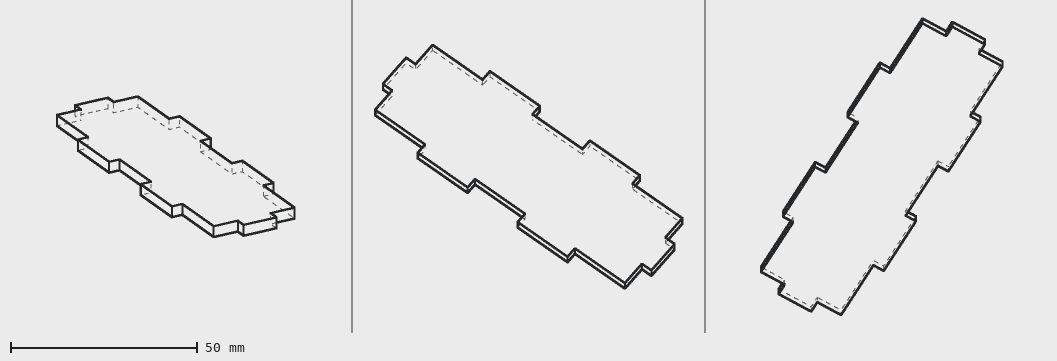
import cadquery as cq

length = 91.4
width = 31.4
thickness = 3.2

tab_depth = thickness
body_length = length - 2 * tab_depth
body_width = width - 2 * tab_depth
side_divisions = 5
side_tab_length = body_length / side_divisions
end_tab_width = 10.15


def plate(size_x, size_y):
    """Centred rectangular plate of the sheet thickness, resting on Z = 0."""
    return cq.Workplane("XY").box(size_x, size_y, thickness, centered=(True, True, False))


body = plate(body_length, body_width)

end_tabs = plate(length, end_tab_width)
result = body.union(end_tabs)

for tab_x in (-side_tab_length, side_tab_length):
    side_tabs = plate(side_tab_length, width).translate((tab_x, 0, 0))
    result = result.union(side_tabs)

result = result.clean()